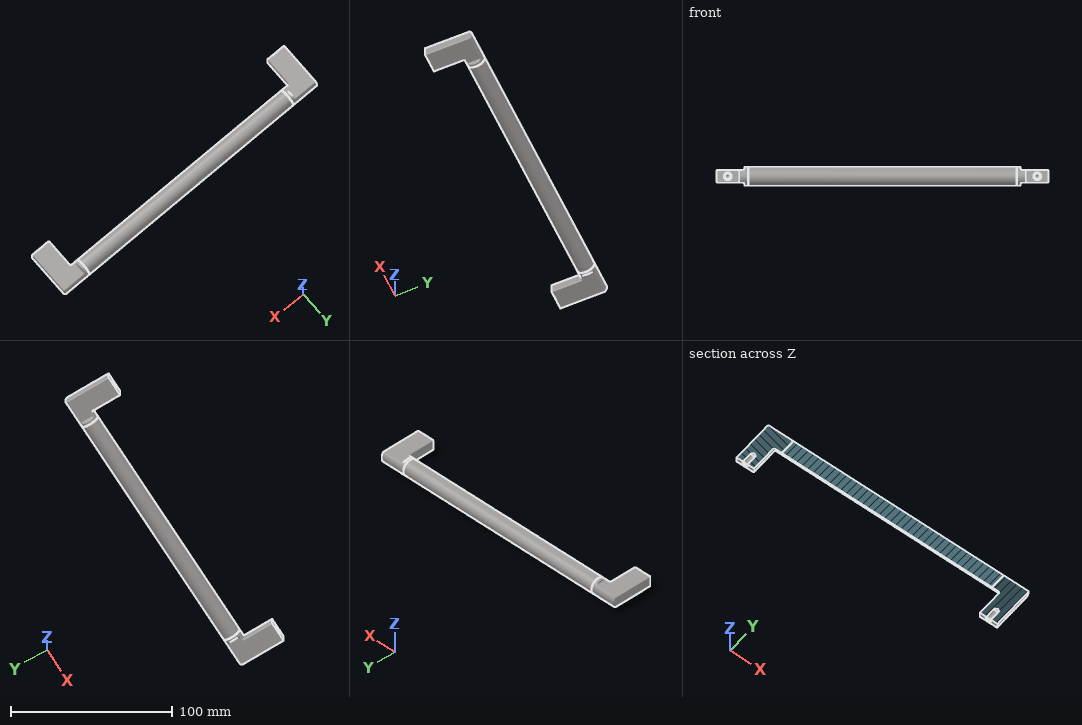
import cadquery as cq
import math

length = 206.0
depth = 32.0
bar_diameter = 12.0

post_width = 14.0
post_thickness = 8.0
flat_length = 17.3
collar_end = 19.8
edge_round = 0.8
step_round = 1.0
joint_chamfer = 0.2

hole_diameter = 3.3
hole_depth = 8.2
hole_chamfer = 0.8
drill_point_angle = 118

bar_radius = bar_diameter / 2
outer_x = -length / 2
front_y = -depth / 2
bar_y = depth / 2 - bar_radius
joint_x = outer_x + collar_end


def rod(start_x, end_x):
    """Round rod on the bar axis, from start_x to end_x."""
    section = cq.Workplane("YZ", origin=(start_x, bar_y, 0)).circle(bar_radius)
    return section.extrude(end_x - start_x)


def make_neck():
    """Collar on the bar axis, flattened above and below between the leg and the joint."""
    neck = rod(outer_x, joint_x).faces(">X").chamfer(joint_chamfer)
    cutter = cq.Workplane("XY").box(flat_length, bar_diameter, bar_radius, centered=(False, True, False))
    cutter = cutter.edges("|Y and >X and <Z").fillet(step_round)
    cutter = cutter.translate((outer_x, bar_y, post_thickness / 2))
    return neck.cut(cutter).cut(cutter.mirror("XY"))


def make_leg():
    """Flat leg from the bar axis forward to the mounting face."""
    leg_length = bar_y - front_y
    leg = cq.Workplane("XY").box(post_width, leg_length, post_thickness, centered=(False, False, True))
    return leg.translate((outer_x, front_y, 0))


def round_post(post):
    """Round the flats' long edges, the outer end and the corner between leg and neck."""
    inner_corner = (outer_x + post_width, bar_y - bar_radius, 0)
    flat_edges = post.faces("|Z").edges("not (<Y or >X)")
    end_edges = post.faces("<X").edges("not <Y")
    corner_edge = post.edges(cq.NearestToPointSelector(inner_corner))
    return post.newObject(flat_edges.add(end_edges).add(corner_edge).vals()).fillet(edge_round)


def make_mounting_hole():
    """Blind drilled hole with a chamfered mouth, into the front face of the leg."""
    radius = hole_diameter / 2
    point_length = radius / math.tan(math.radians(drill_point_angle / 2))
    profile = (
        cq.Workplane("XY")
        .lineTo(radius + hole_chamfer, 0)
        .lineTo(radius, hole_chamfer)
        .lineTo(radius, hole_depth)
        .lineTo(0, hole_depth + point_length)
        .close()
    )
    hole = profile.revolve(360, (0, 0, 0), (0, 1, 0))
    return hole.translate((outer_x + post_width / 2, front_y, 0))


def make_post():
    """Left end post with its mounting hole."""
    return round_post(make_neck().union(make_leg())).cut(make_mounting_hole())


def make_bar():
    """Round grip between the two posts."""
    return rod(joint_x, -joint_x).faces("<X or >X").chamfer(joint_chamfer)


bar = make_bar()
left_post = make_post()
right_post = left_post.mirror("YZ")

result = cq.Compound.makeCompound([bar.val(), left_post.val(), right_post.val()])